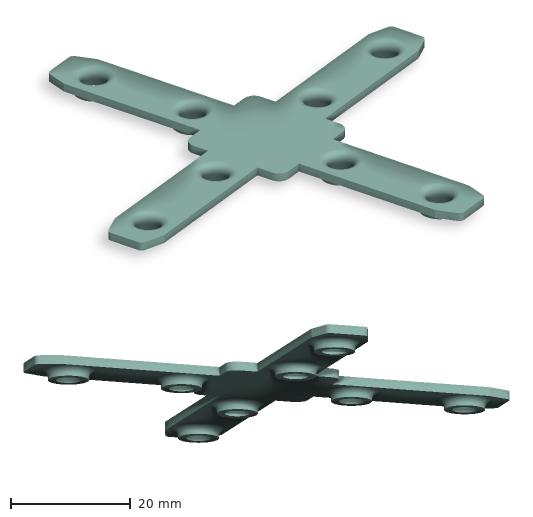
import cadquery as cq
import math

span = 84.0
plate_thickness = 1.5
arm_width = 10.0
hub_size = 20.0
hub_corner_radius = 2.0

taper_length = 4.4
tip_width = 7.0
tip_corner_radius = 1.0

total_height = 3.0
seat_distances = (15.0, 35.0)
hole_diameter = 4.2
mouth_radius = 1.5
boss_diameter = 6.9
boss_root_radius = 1.2

ARM_ANGLES = (0, 90, 180, 270)
ARC_MIDDLE = math.sqrt(0.5)


def make_arm():
    """Arm along +X from the part centre, with a tapered tip; plate top at Z = 0."""
    tip_x = span / 2
    shoulder_x = tip_x - taper_length
    half_width = arm_width / 2
    half_tip = tip_width / 2
    outline = [
        (0, -half_width),
        (shoulder_x, -half_width),
        (tip_x, -half_tip),
        (tip_x, half_tip),
        (shoulder_x, half_width),
        (0, half_width),
    ]
    arm = cq.Workplane("XY").polyline(outline).close().extrude(-plate_thickness)
    return arm.faces(">X").edges("|Z").fillet(tip_corner_radius)


def make_hub():
    """Square centre with rounded corners."""
    hub = cq.Workplane("XY").rect(hub_size, hub_size).extrude(-plate_thickness)
    return hub.edges("|Z").fillet(hub_corner_radius)


def revolve_about_z(profile):
    return profile.close().revolve(360, (0, 0), (0, 1))


def make_boss():
    """Round boss that flares into the underside of the plate with a concave fillet."""
    radius = boss_diameter / 2
    flare_center_x = radius + boss_root_radius
    flare_center_z = -plate_thickness - boss_root_radius
    arc_offset = boss_root_radius * ARC_MIDDLE
    profile = (
        cq.Workplane("XZ")
        .lineTo(flare_center_x, 0)
        .lineTo(flare_center_x, -plate_thickness)
        .threePointArc(
            (flare_center_x - arc_offset, flare_center_z + arc_offset),
            (radius, flare_center_z),
        )
        .lineTo(radius, -total_height)
        .lineTo(0, -total_height)
    )
    return revolve_about_z(profile)


def make_hole():
    """Through hole whose upper edge is rounded over into the plate top."""
    radius = hole_diameter / 2
    mouth_center_x = radius + mouth_radius
    arc_offset = mouth_radius * ARC_MIDDLE
    profile = (
        cq.Workplane("XZ")
        .lineTo(mouth_center_x, 0)
        .threePointArc(
            (mouth_center_x - arc_offset, -mouth_radius + arc_offset),
            (radius, -mouth_radius),
        )
        .lineTo(radius, -total_height)
        .lineTo(0, -total_height)
    )
    return revolve_about_z(profile)


def turn(body, angle):
    """Rotate a body about the part's vertical axis."""
    return body.rotate((0, 0, 0), (0, 0, 1), angle)


result = make_hub()
for angle in ARM_ANGLES:
    result = result.union(turn(make_arm(), angle))

for angle in ARM_ANGLES:
    for distance in seat_distances:
        seat_position = (distance, 0, 0)
        result = result.union(turn(make_boss().translate(seat_position), angle))
        result = result.cut(turn(make_hole().translate(seat_position), angle))